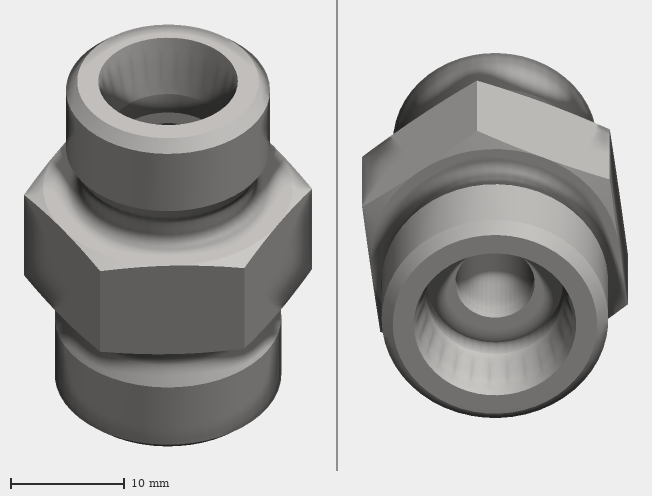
import cadquery as cq
import math

LENGTH = 34.0
HEX_FLATS = 22.0
HEX_BOTTOM = 12.0
HEX_TOP = 22.0
HEX_CHAMFER_ANGLE = 15.0
END_CHAMFER = 1.0

LOWER_THREAD_DIAMETER = 20.0
LOWER_UNDERCUT_DIAMETER = 17.7
UPPER_THREAD_DIAMETER = 18.0
UPPER_UNDERCUT_DIAMETER = 15.7
UNDERCUT_LENGTH = 2.6
UNDERCUT_FILLET = 1.0
RUNOUT_ANGLE = 30.0
RUNOUT_ROUND = 1.0

BORE_DIAMETER = 7.0
LOWER_SEAT_DIAMETER = 12.0
LOWER_MOUTH_DIAMETER = 14.3
UPPER_SEAT_DIAMETER = 10.0
UPPER_MOUTH_DIAMETER = 12.3
SOCKET_DEPTH = 7.5
MOUTH_HALF_ANGLE = 12.0


def tan_degrees(angle):
    return math.tan(math.radians(angle))


def make_hexagon():
    """Hexagon with two flats facing X, its corners turned down by cones at both ends."""
    height = HEX_TOP - HEX_BOTTOM
    corner_diameter = HEX_FLATS / math.cos(math.radians(30))
    prism = (
        cq.Workplane("XY", origin=(0, 0, HEX_BOTTOM))
        .polygon(6, corner_diameter)
        .extrude(height)
        .rotate((0, 0, 0), (0, 0, 1), 30)
    )
    flat_radius = HEX_FLATS / 2
    outer_radius = corner_diameter / 2 + 0.35
    drop = (outer_radius - flat_radius) * tan_degrees(HEX_CHAMFER_ANGLE)
    envelope = (
        cq.Workplane("XZ")
        .polyline([
            (0, HEX_BOTTOM),
            (flat_radius, HEX_BOTTOM),
            (outer_radius, HEX_BOTTOM + drop),
            (outer_radius, HEX_TOP - drop),
            (flat_radius, HEX_TOP),
            (0, HEX_TOP),
        ])
        .close()
        .revolve(360, (0, 0, 0), (0, 1, 0))
    )
    return prism.intersect(envelope)


def make_threaded_end(length, thread_diameter, undercut_diameter):
    """Stub from Z = 0 up to the hexagon, with an undercut flaring into the hexagon face."""
    thread_radius = thread_diameter / 2
    undercut_radius = undercut_diameter / 2
    undercut_start = length - UNDERCUT_LENGTH
    runout = (thread_radius - undercut_radius) / tan_degrees(RUNOUT_ANGLE)
    tangent = RUNOUT_ROUND * tan_degrees(RUNOUT_ANGLE / 2)
    round_start = (
        undercut_radius + tangent * math.sin(math.radians(RUNOUT_ANGLE)),
        undercut_start - tangent * math.cos(math.radians(RUNOUT_ANGLE)),
    )
    round_middle = (
        undercut_radius + RUNOUT_ROUND * (1 - math.cos(math.radians(RUNOUT_ANGLE / 2))),
        undercut_start + tangent - RUNOUT_ROUND * math.sin(math.radians(RUNOUT_ANGLE / 2)),
    )
    fillet_middle = UNDERCUT_FILLET * math.sqrt(0.5)
    return (
        cq.Workplane("XZ")
        .moveTo(0, 0)
        .lineTo(thread_radius - END_CHAMFER, 0)
        .lineTo(thread_radius, END_CHAMFER)
        .lineTo(thread_radius, undercut_start - runout)
        .lineTo(*round_start)
        .threePointArc(round_middle, (undercut_radius, undercut_start + tangent))
        .lineTo(undercut_radius, length - UNDERCUT_FILLET)
        .threePointArc(
            (undercut_radius + UNDERCUT_FILLET - fillet_middle, length - UNDERCUT_FILLET + fillet_middle),
            (undercut_radius + UNDERCUT_FILLET, length),
        )
        .lineTo(0, length)
        .close()
        .revolve(360, (0, 0, 0), (0, 1, 0))
    )


def make_socket(seat_diameter, mouth_diameter):
    """Cutter for a tube socket opening at Z = 0."""
    seat_radius = seat_diameter / 2
    mouth_radius = mouth_diameter / 2
    taper_depth = (mouth_radius - seat_radius) / tan_degrees(MOUTH_HALF_ANGLE)
    return (
        cq.Workplane("XZ")
        .polyline([
            (0, 0),
            (mouth_radius, 0),
            (seat_radius, taper_depth),
            (seat_radius, SOCKET_DEPTH),
            (0, SOCKET_DEPTH),
        ])
        .close()
        .revolve(360, (0, 0, 0), (0, 1, 0))
    )


def at_upper_end(shape):
    """Turn a shape built at the lower end over to the upper end."""
    return shape.rotate((0, 0, 0), (1, 0, 0), 180).translate((0, 0, LENGTH))


lower_end = make_threaded_end(HEX_BOTTOM, LOWER_THREAD_DIAMETER, LOWER_UNDERCUT_DIAMETER)
upper_end = make_threaded_end(LENGTH - HEX_TOP, UPPER_THREAD_DIAMETER, UPPER_UNDERCUT_DIAMETER)
lower_socket = make_socket(LOWER_SEAT_DIAMETER, LOWER_MOUTH_DIAMETER)
upper_socket = make_socket(UPPER_SEAT_DIAMETER, UPPER_MOUTH_DIAMETER)
bore = cq.Workplane("XY").circle(BORE_DIAMETER / 2).extrude(LENGTH)

body = make_hexagon().union(lower_end).union(at_upper_end(upper_end))
result = body.cut(lower_socket).cut(at_upper_end(upper_socket)).cut(bore)